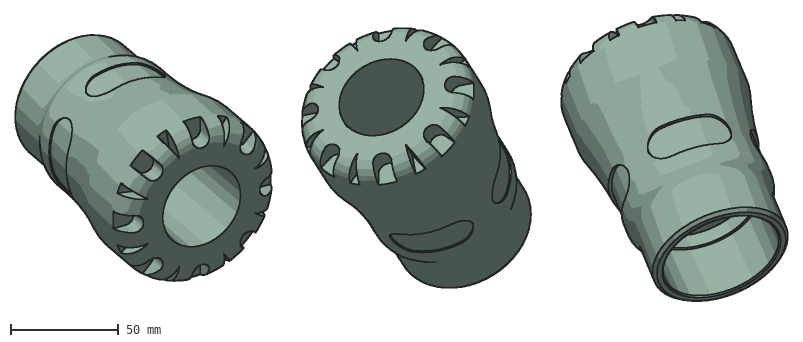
import cadquery as cq
import math

length = 118.0
head_radius = 85.0 / 2
spigot_radius = 66.3 / 2
collar_radius = 72.2 / 2

spigot_end = 22.5
collar_start = 32.0
flare_start = 39.9
flare_end = 84.0
head_start = 86.4
spigot_chamfer = 1.7
nose_radius = 11.1
nose_face_radius = head_radius - nose_radius

bore_radius = 56.6 / 2
mouth_radius = 29.0
mouth_chamfer = mouth_radius - bore_radius
bore_depth = 28.8
inner_bore_radius = 53.8 / 2
inner_bore_depth = 36.1
through_radius = 41.7 / 2

recess_count = 4
recess_start = 38.4
recess_width = 17.3
recess_length = 40.0
recess_floor_radius = 35.3

groove_pairs = 8
groove_start = 108.9
groove_bottom_radius = 31.2
groove_clearance = 1.2
groove_top = head_radius + groove_clearance
round_groove_width = 9.1
vee_angle = 26.0


def make_body():
    """Solid of revolution carrying the outer outline only."""
    neck_middle_x = (spigot_end + collar_start) / 2
    neck_middle_radius = (spigot_radius + collar_radius) / 2

    flare_length = flare_end - flare_start
    shoulder_length = head_start - flare_end
    total_rise = head_radius - collar_radius
    flare_rise = total_rise * flare_length / (flare_length + shoulder_length)

    nose_start = length - nose_radius
    nose_middle = (
        nose_start + nose_radius * math.sin(math.pi / 4),
        nose_face_radius + nose_radius * math.cos(math.pi / 4),
    )
    outline = (
        cq.Workplane("XY")
        .lineTo(0, spigot_radius - spigot_chamfer)
        .lineTo(spigot_chamfer, spigot_radius)
        .lineTo(spigot_end, spigot_radius)
        .tangentArcPoint((neck_middle_x, neck_middle_radius), relative=False)
        .tangentArcPoint((collar_start, collar_radius), relative=False)
        .lineTo(flare_start, collar_radius)
        .tangentArcPoint((flare_end, collar_radius + flare_rise), relative=False)
        .tangentArcPoint((head_start, head_radius), relative=False)
        .lineTo(nose_start, head_radius)
        .threePointArc(nose_middle, (length, nose_face_radius))
        .lineTo(length, 0)
        .close()
    )
    return outline.revolve(360, (0, 0, 0), (1, 0, 0))


def make_bore():
    """Stepped bore, open at both ends."""
    outline = (
        cq.Workplane("XY")
        .lineTo(0, mouth_radius)
        .lineTo(mouth_chamfer, bore_radius)
        .lineTo(bore_depth, bore_radius)
        .lineTo(bore_depth, inner_bore_radius)
        .lineTo(inner_bore_depth, inner_bore_radius)
        .lineTo(inner_bore_depth, through_radius)
        .lineTo(length, through_radius)
        .lineTo(length, 0)
        .close()
    )
    return outline.revolve(360, (0, 0, 0), (1, 0, 0))


def make_recesses():
    """Shallow stadium-shaped recesses whose floors lie on one cylinder about X."""
    stadium = (
        cq.Workplane("XY")
        .center(recess_start + recess_width / 2, 0)
        .slot2D(recess_length, recess_width, 90)
        .extrude(head_radius)
    )
    floor = cq.Workplane("YZ").circle(recess_floor_radius).extrude(length)
    pocket = stadium.cut(floor)
    recesses = cq.Workplane("XY")
    for index in range(recess_count):
        angle = index * 360 / recess_count
        recesses = recesses.add(pocket.rotate((0, 0, 0), (1, 0, 0), angle))
    return recesses.combine()


def make_groove(profile, angle):
    """Groove along X with the given cross-section, open at the nose face."""
    groove = profile.close().extrude(length - groove_start)
    return groove.rotate((0, 0, 0), (1, 0, 0), angle)


def round_profile():
    """Parallel sides closed by a half-round bottom."""
    round_radius = round_groove_width / 2
    round_centre = groove_bottom_radius + round_radius
    return (
        cq.Workplane("YZ", origin=(groove_start, 0, 0))
        .moveTo(-round_radius, groove_top)
        .lineTo(-round_radius, round_centre)
        .threePointArc((0, groove_bottom_radius), (round_radius, round_centre))
        .lineTo(round_radius, groove_top)
    )


def vee_profile():
    """Two straight flanks meeting at the bottom of the groove."""
    top_half_width = (groove_top - groove_bottom_radius) * math.tan(math.radians(vee_angle / 2))
    return (
        cq.Workplane("YZ", origin=(groove_start, 0, 0))
        .moveTo(-top_half_width, groove_top)
        .lineTo(0, groove_bottom_radius)
        .lineTo(top_half_width, groove_top)
    )


result = make_body().cut(make_bore()).cut(make_recesses())
pair_pitch = 360 / groove_pairs
for pair in range(groove_pairs):
    round_angle = pair * pair_pitch
    vee_groove_angle = round_angle + pair_pitch / 2
    result = result.cut(make_groove(round_profile(), round_angle))
    result = result.cut(make_groove(vee_profile(), vee_groove_angle))